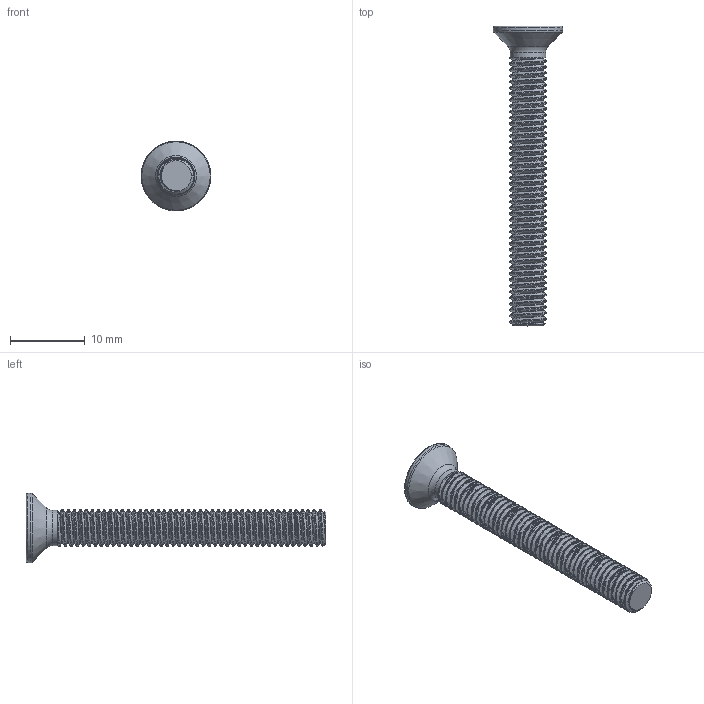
import cadquery as cq
import math

length = 40.0
head_radius = 4.65
rim_height = 0.75
top_fillet = 0.25
rim_fillet = 0.3
shank_radius = 2.37
neck_fillet = 1.2

pitch = 0.8
major_radius = 2.5
minor_radius = major_radius - 0.6134 * pitch
root_width = pitch / 8
flank_slope = math.tan(math.radians(30))
thread_start = 4.25
groove_depth_at_x = 4.24
tip_radius = 2.05
flank_points = 20
turns_per_section = 5

thread_length = length - thread_start
section_length = turns_per_section * pitch


def make_head_and_shank():
    """Head, neck and plain shank revolved about Z, with the head top at Z = 0."""
    arc_angle = math.radians(45)

    def neck_point(angle):
        radius = shank_radius + neck_fillet * (1 - math.cos(angle))
        return (radius, neck_end - neck_fillet * math.sin(angle))

    cone_end_radius = shank_radius + neck_fillet * (1 - math.cos(arc_angle))
    cone_end = rim_height + head_radius - cone_end_radius
    neck_end = cone_end + neck_fillet * math.sin(arc_angle)
    head = (
        cq.Workplane("XZ")
        .lineTo(head_radius, 0)
        .lineTo(head_radius, rim_height)
        .lineTo(cone_end_radius, cone_end)
        .threePointArc(neck_point(arc_angle / 2), (shank_radius, neck_end))
        .lineTo(shank_radius, thread_start)
        .lineTo(0, thread_start)
        .close()
        .revolve(360, (0, 0, 0), (0, 1, 0))
    )
    rim_edges = head.edges(cq.selectors.RadiusNthSelector(-1))
    return rim_edges.edges(">Z").fillet(rim_fillet).faces("<Z").edges().fillet(top_fillet)


def thread_cross_section():
    """Closed curve of the thread cut square to the axis, with the groove centre on +X."""
    radians_per_mm = 2 * math.pi / pitch
    depth = major_radius - minor_radius
    root_angle = radians_per_mm * root_width / 2
    crest_angle = root_angle + radians_per_mm * depth * flank_slope

    def polar(radius, angle):
        return (radius * math.cos(angle), radius * math.sin(angle))

    def rising_flank(t):
        return polar(minor_radius + t * depth, root_angle + t * (crest_angle - root_angle))

    def falling_flank(t):
        x, y = rising_flank(1 - t)
        return (x, -y)

    return (
        cq.Workplane("XY")
        .moveTo(*falling_flank(1))
        .threePointArc((minor_radius, 0), rising_flank(0))
        .parametricCurve(rising_flank, N=flank_points, makeWire=False)
        .moveTo(*rising_flank(1))
        .threePointArc((-major_radius, 0), falling_flank(0))
        .parametricCurve(falling_flank, N=flank_points, makeWire=False)
        .wire()
    )


def make_thread_section(start, height):
    """Right-hand threaded rod from depth `start`, twisted once per pitch."""
    start_angle = 360 * (start - groove_depth_at_x) / pitch
    return (
        thread_cross_section()
        .twistExtrude(height, 360 * height / pitch)
        .rotate((0, 0, 0), (0, 0, 1), start_angle)
        .translate((0, 0, start))
    )


def make_tip_envelope():
    """Solid of revolution that trims the last thread section to the tip chamfer."""
    outer_radius = major_radius + pitch
    return (
        cq.Workplane("XZ")
        .lineTo(outer_radius, 0)
        .lineTo(outer_radius, length - (outer_radius - tip_radius))
        .lineTo(tip_radius, length)
        .lineTo(0, length)
        .close()
        .revolve(360, (0, 0, 0), (0, 1, 0))
    )


def make_thread_sections():
    """Equal threaded sections, then a shorter one that ends in the chamfered tip."""
    full_sections = int(thread_length / section_length)
    tip_start = thread_start + full_sections * section_length
    sections = [
        make_thread_section(thread_start + index * section_length, section_length)
        for index in range(full_sections)
    ]
    tip = make_thread_section(tip_start, length - tip_start).intersect(make_tip_envelope())
    return sections + [tip]


screw = make_head_and_shank().val().fuse(*[section.val() for section in make_thread_sections()])

result = cq.Workplane("XY").add(screw).rotate((0, 0, 0), (1, 0, 0), 90)